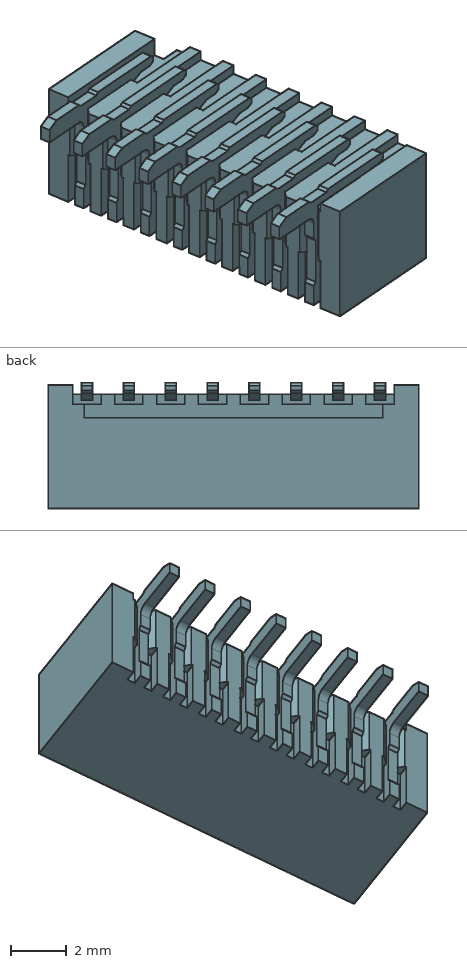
import cadquery as cq


length = 13.3
depth = 5.0
wall_height = 4.44
body_height = 4.11

pin_count = 8
end_margin = 1.4
pitch = (length - 2 * end_margin) / (pin_count - 1)
pin_width = 0.4
pin_centres = [-length / 2 + end_margin + i * pitch for i in range(pin_count)]

slot_width = 1.01
wall_thickness = end_margin - slot_width / 2
lower_slot_height = 2.0
lower_slot_depth = 0.4
notch_width = 0.88
notch_depth = (notch_width - pin_width) / 2
top_slot_floor = 3.75
top_slot_front = 2.73

tongue_width = 10.69
tongue_bottom = 3.26
tongue_back = 5.77

arm_top = 4.52
arm_dip = 4.43
dip_front = -0.16
dip_back = 0.73
dip_ramp = 0.1
tip_front = -1.98
tip_bevel_length = 0.41
tip_bevel_drop = 0.21
arm_bottom = 3.78
bend_radius = 0.3

tail_back = 4.03
tail_top_chamfer = 0.1
tail_end_bottom = 4.25
tail_bottom = 4.15
tail_chamfer_length = 0.21
tail_ramp_start = 3.32
tail_ramp_end_height = 3.9

leg_back = 0.6
leg_recess = 0.1
recess_top = 2.83
recess_top_ramp = 0.13
recess_bottom = 0.95
recess_bottom_ramp = 0.12


def block(x_min, x_max, y_min, y_max, z_min, z_max):
    """Box given by its limits along each axis."""
    size = (x_max - x_min, y_max - y_min, z_max - z_min)
    return cq.Workplane("XY").box(*size, centered=False).translate((x_min, y_min, z_min))


def centred_block(width, y_min, y_max, z_min, z_max):
    """Box centred on X = 0."""
    return block(-width / 2, width / 2, y_min, y_max, z_min, z_max)


def make_housing():
    """Uncut housing: low body between two taller end walls, with the rear tongue."""
    housing = centred_block(length, 0, depth, 0, wall_height)
    gap_width = length - 2 * wall_thickness
    housing = housing.cut(centred_block(gap_width, 0, depth, body_height, wall_height))
    tongue = centred_block(tongue_width, top_slot_front, tongue_back, tongue_bottom, body_height)
    return housing.union(tongue)


def make_pin_clearance():
    """Material removed around one pin centred on X = 0."""
    lower_slot = centred_block(slot_width, 0, lower_slot_depth, 0, lower_slot_height)
    top_slot = centred_block(slot_width, top_slot_front, tongue_back, top_slot_floor, body_height)
    notch = (
        cq.Workplane("XY", origin=(0, 0, lower_slot_height))
        .moveTo(-notch_width / 2, 0)
        .lineTo(notch_width / 2, 0)
        .lineTo(pin_width / 2, notch_depth)
        .lineTo(-pin_width / 2, notch_depth)
        .close()
        .extrude(body_height - lower_slot_height)
    )
    return lower_slot.union(notch).union(top_slot)


def make_pin():
    """One bent pin centred on X = 0, from its side profile in Y and Z."""
    profile = (
        cq.Workplane("YZ", origin=(-pin_width / 2, 0, 0))
        .moveTo(tip_front, arm_bottom)
        .lineTo(tip_front, arm_top - tip_bevel_drop)
        .lineTo(tip_front + tip_bevel_length, arm_top)
        .lineTo(dip_front - dip_ramp, arm_top)
        .lineTo(dip_front, arm_dip)
        .lineTo(dip_back, arm_dip)
        .lineTo(dip_back + dip_ramp, arm_top)
        .lineTo(tail_back - tail_top_chamfer, arm_top)
        .lineTo(tail_back, arm_top - tail_top_chamfer)
        .lineTo(tail_back, tail_end_bottom)
        .lineTo(tail_back - tail_chamfer_length, tail_bottom)
        .lineTo(tail_ramp_start, tail_bottom)
        .lineTo(top_slot_front, tail_ramp_end_height)
        .lineTo(leg_back, tail_ramp_end_height)
        .lineTo(leg_back, 0)
        .lineTo(0, 0)
        .lineTo(0, recess_bottom - recess_bottom_ramp)
        .lineTo(leg_recess, recess_bottom)
        .lineTo(leg_recess, recess_top - recess_top_ramp)
        .lineTo(0, recess_top)
        .lineTo(0, arm_bottom - bend_radius)
        .radiusArc((-bend_radius, arm_bottom), -bend_radius)
        .close()
    )
    return profile.extrude(pin_width)


housing = make_housing()
clearance = make_pin_clearance()
pin = make_pin()
for x in pin_centres:
    housing = housing.cut(clearance.translate((x, 0, 0)))
    housing = housing.union(pin.translate((x, 0, 0)))

result = housing